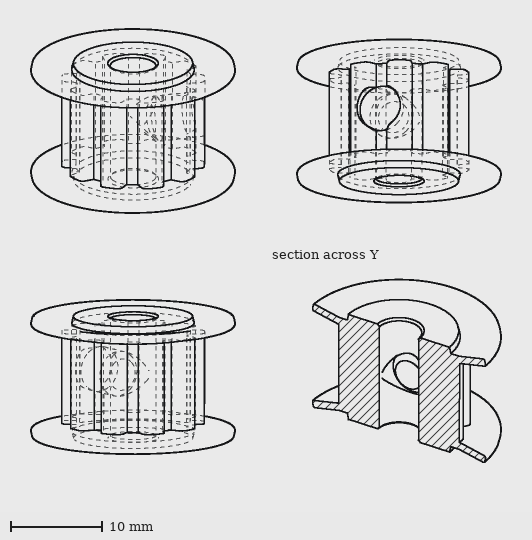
import cadquery as cq
import math

outer_radius = 11.22
height = 13.55

tooth_count = 10
tooth_tip_radius = 7.85
rim_height = 10.12
groove_floor_radius = 6.37
groove_floor_width = 1.23
groove_flank_angle = 25.0
tooth_tip_fillet = 0.63

flange_thickness = 0.96
flange_flat_radius = 7.75
flange_slope = 12.0
flange_edge_fillet = 0.27

boss_base_radius = 6.73
boss_top_radius = 6.55

bore_diameter = 5.0
bore_chamfer = 0.27
screw_diameter = 4.98
screw_tip_y = 2.06
screw_tip_chamfer = 0.75

half_rim = rim_height / 2
half_height = height / 2
bore_radius = bore_diameter / 2
screw_radius = screw_diameter / 2
pitch_angle = 360 / tooth_count
first_groove_turn = 180


def make_rim():
    """Cylinder with straight-flanked belt grooves, the first one centred on -Y."""
    rim = cq.Workplane("XY", origin=(0, 0, -half_rim)).circle(tooth_tip_radius).extrude(rim_height)
    flank = math.radians(groove_flank_angle)
    floor_half = groove_floor_width / 2

    flank_offset = floor_half * math.cos(flank) - groove_floor_radius * math.sin(flank) + tooth_tip_fillet
    centre_radius = tooth_tip_radius - tooth_tip_fillet
    centre_angle = flank + math.asin(flank_offset / centre_radius)
    centre_x = centre_radius * math.sin(centre_angle)
    centre_y = centre_radius * math.cos(centre_angle)

    def on_rounding(angle):
        return (
            centre_x + tooth_tip_fillet * math.sin(angle),
            centre_y + tooth_tip_fillet * math.cos(angle),
        )

    def mirrored(point):
        return (-point[0], point[1])

    flank_direction = flank - math.pi / 2
    flank_end = on_rounding(flank_direction)
    rounding_middle = on_rounding((flank_direction + centre_angle) / 2)
    tip_end = on_rounding(centre_angle)

    groove = (
        cq.Workplane("XY", origin=(0, 0, -half_rim))
        .moveTo(-floor_half, groove_floor_radius)
        .lineTo(floor_half, groove_floor_radius)
        .lineTo(*flank_end)
        .threePointArc(rounding_middle, tip_end)
        .threePointArc((0, tooth_tip_radius), mirrored(tip_end))
        .threePointArc(mirrored(rounding_middle), mirrored(flank_end))
        .close()
        .extrude(rim_height)
    )
    for index in range(tooth_count):
        turned_groove = groove.rotate((0, 0, 0), (0, 0, 1), first_groove_turn + index * pitch_angle)
        rim = rim.cut(turned_groove)
    return rim


def make_top_flange():
    """Disc whose outer part rises as a cone, with a rounded edge square to the slope."""
    slope = math.radians(flange_slope)
    corner_radius = outer_radius + flange_edge_fillet * (math.cos(slope) + math.sin(slope) - 1)
    lower_flat_radius = flange_flat_radius + flange_thickness * math.tan(slope / 2)
    lower_corner_z = half_rim + (corner_radius - lower_flat_radius) * math.tan(slope)
    upper_corner = (
        corner_radius - flange_thickness * math.sin(slope),
        lower_corner_z + flange_thickness * math.cos(slope),
    )
    flange = (
        cq.Workplane("XZ")
        .moveTo(0, half_rim)
        .lineTo(lower_flat_radius, half_rim)
        .lineTo(corner_radius, lower_corner_z)
        .lineTo(*upper_corner)
        .lineTo(flange_flat_radius, half_rim + flange_thickness)
        .lineTo(0, half_rim + flange_thickness)
        .close()
        .revolve(360, (0, 0, 0), (0, 1, 0))
    )
    mid_cone_radius = (lower_flat_radius + corner_radius) / 2
    outer_edges = flange.edges("%CIRCLE").filter(lambda edge: edge.radius() > mid_cone_radius)
    return outer_edges.fillet(flange_edge_fillet)


def make_top_boss():
    """Slightly tapered disc standing above the flange."""
    base_z = half_rim + flange_thickness
    return (
        cq.Workplane("XZ")
        .moveTo(0, base_z)
        .lineTo(boss_base_radius, base_z)
        .lineTo(boss_top_radius, half_height)
        .lineTo(0, half_height)
        .close()
        .revolve(360, (0, 0, 0), (0, 1, 0))
    )


def make_bore():
    """Through bore with a 45 degree chamfer at both ends."""
    mouth_radius = bore_radius + bore_chamfer
    return (
        cq.Workplane("XZ")
        .moveTo(0, -half_height)
        .lineTo(mouth_radius, -half_height)
        .lineTo(bore_radius, -half_height + bore_chamfer)
        .lineTo(bore_radius, half_height - bore_chamfer)
        .lineTo(mouth_radius, half_height)
        .lineTo(0, half_height)
        .close()
        .revolve(360, (0, 0, 0), (0, 1, 0))
    )


def cylinder_along_y(radius, start_y, end_y):
    """Solid cylinder on the Y axis between two Y positions."""
    return cq.Workplane("XZ", origin=(0, start_y, 0)).circle(radius).extrude(start_y - end_y)


def make_pulley():
    """Toothed rim, both flanges and both bosses, with bore and screw hole."""
    end_plate = make_top_flange().union(make_top_boss())
    pulley = make_rim().union(end_plate).union(end_plate.mirror("XY"))
    screw_hole = cylinder_along_y(screw_radius, 0, tooth_tip_radius)
    return pulley.cut(make_bore()).cut(screw_hole)


def make_set_screw():
    """Screw filling its hole up to the groove floor, its chamfered tip inside the bore."""
    screw = cylinder_along_y(screw_radius, screw_tip_y, groove_floor_radius)
    return screw.faces("<Y").chamfer(screw_tip_chamfer)


pulley = make_pulley()
set_screw = make_set_screw()

result = cq.Compound.makeCompound([pulley.solids().val(), set_screw.val()])